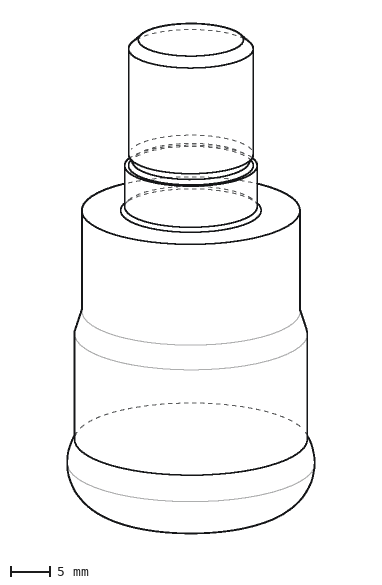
import cadquery as cq
import math

total_height = 63.0
foot_radius = 15.9
foot_round_radius = 6.0
foot_flat_radius = foot_radius - foot_round_radius

sleeve_lower_radius = 14.9
sleeve_upper_radius = 14.0
sleeve_cone_bottom = 23.45
sleeve_cone_top = 26.45
sleeve_top = 40.0

collar_radius = 8.5
collar_flare = 0.5
collar_top = 46.05

stud_radius = 8.0
stud_tip_radius = 6.75
stud_tip_height = 1.2
neck_radius = 7.5
neck_z = 46.6
stud_cylinder_bottom = 47.55

joint_offset = sleeve_lower_radius - foot_flat_radius
joint_z = foot_round_radius + math.sqrt(foot_round_radius**2 - joint_offset**2)


def make_foot():
    """Disc with a rounded, bulging rim and a flat top that carries the sleeve."""
    arc_middle_angle = math.radians(-45)
    lower_arc_middle = (
        foot_flat_radius + foot_round_radius * math.cos(arc_middle_angle),
        foot_round_radius + foot_round_radius * math.sin(arc_middle_angle),
    )
    upper_angle = math.acos(joint_offset / foot_round_radius) / 2
    upper_arc_middle = (
        foot_flat_radius + foot_round_radius * math.cos(upper_angle),
        foot_round_radius + foot_round_radius * math.sin(upper_angle),
    )
    profile = (
        cq.Workplane("XZ")
        .lineTo(foot_flat_radius, 0)
        .threePointArc(lower_arc_middle, (foot_radius, foot_round_radius))
        .threePointArc(upper_arc_middle, (sleeve_lower_radius, joint_z))
        .lineTo(0, joint_z)
        .close()
    )
    return profile.revolve(360, (0, 0, 0), (0, 1, 0))


def make_stud_body():
    """Stepped sleeve with its collar, undercut neck and chamfered stud."""
    outline = [
        (0, joint_z),
        (sleeve_lower_radius, joint_z),
        (sleeve_lower_radius, sleeve_cone_bottom),
        (sleeve_upper_radius, sleeve_cone_top),
        (sleeve_upper_radius, sleeve_top),
        (collar_radius + collar_flare, sleeve_top),
        (collar_radius, sleeve_top + collar_flare),
        (collar_radius, collar_top),
        (stud_radius, collar_top),
        (neck_radius, neck_z),
        (stud_radius, stud_cylinder_bottom),
        (stud_radius, total_height - stud_tip_height),
        (stud_tip_radius, total_height),
        (0, total_height),
    ]
    profile = cq.Workplane("XZ").polyline(outline).close()
    return profile.revolve(360, (0, 0, 0), (0, 1, 0))


foot = make_foot()
stud_body = make_stud_body()

result = cq.Compound.makeCompound([foot.val(), stud_body.val()])